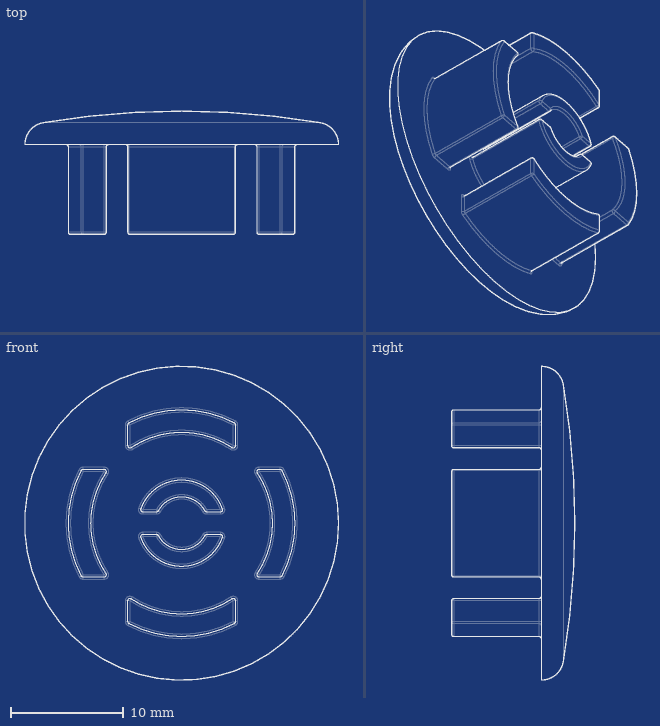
import cadquery as cq
import math

CAP_RADIUS = 14.0
CAP_THICKNESS = 3.0
RIM_RADIUS = 2.0

PRONG_LENGTH = 8.0
BLEND_RADIUS = 0.2

ARM_COUNT = 4
ARM_OUTER_RADIUS = 10.1
ARM_INNER_RADIUS = 8.1
ARM_WIDTH = 9.6

CLIP_COUNT = 2
CLIP_OUTER_RADIUS = 3.85
CLIP_INNER_RADIUS = 2.35
CLIP_SLOT_WIDTH = 2.0


def make_cap():
    """Revolve the cap profile, a rounded rim running smoothly into a shallow dome, about the Y axis."""
    rim_center_x = CAP_RADIUS - RIM_RADIUS
    dome_radius = (rim_center_x**2 + CAP_THICKNESS**2 - RIM_RADIUS**2) / (2 * (CAP_THICKNESS - RIM_RADIUS))
    dome_center_y = CAP_THICKNESS - dome_radius

    dome_edge_angle = math.asin(rim_center_x / (dome_radius - RIM_RADIUS))
    rim_mid_angle = (dome_edge_angle + math.pi / 2) / 2

    def rim_point(angle):
        return (rim_center_x + RIM_RADIUS * math.sin(angle), RIM_RADIUS * math.cos(angle))

    def dome_point(angle):
        return (dome_radius * math.sin(angle), dome_center_y + dome_radius * math.cos(angle))

    return (
        cq.Workplane("XY")
        .lineTo(CAP_RADIUS, 0)
        .threePointArc(rim_point(rim_mid_angle), rim_point(dome_edge_angle))
        .threePointArc(dome_point(dome_edge_angle / 2), (0, CAP_THICKNESS))
        .close()
        .revolve(360, (0, 0, 0), (0, 1, 0))
    )


def make_tube(outer_radius, inner_radius):
    """Tube along the Y axis, from the underside to the prong tips."""
    return (
        cq.Workplane("XZ")
        .circle(outer_radius)
        .circle(inner_radius)
        .extrude(PRONG_LENGTH)
    )


def round_sides_and_tip(prong):
    """Round the four long edges of a prong, then the rim of its free end."""
    return prong.edges("|Y").fillet(BLEND_RADIUS).faces("<Y").edges().fillet(BLEND_RADIUS)


def make_arm():
    """Upper arm: the part of the ring above the axis, between two parallel sides."""
    side_cutter = (
        cq.Workplane("XZ")
        .center(0, ARM_OUTER_RADIUS / 2)
        .rect(ARM_WIDTH, ARM_OUTER_RADIUS)
        .extrude(PRONG_LENGTH)
    )
    return round_sides_and_tip(make_tube(ARM_OUTER_RADIUS, ARM_INNER_RADIUS).intersect(side_cutter))


def make_clip():
    """Upper clip: the part of the tube above the slot."""
    upper_region = (
        cq.Workplane("XZ")
        .center(0, CLIP_SLOT_WIDTH / 2 + CLIP_OUTER_RADIUS / 2)
        .rect(2 * CLIP_OUTER_RADIUS, CLIP_OUTER_RADIUS)
        .extrude(PRONG_LENGTH)
    )
    return round_sides_and_tip(make_tube(CLIP_OUTER_RADIUS, CLIP_INNER_RADIUS).intersect(upper_region))


def add_around_axis(body, prong, count):
    """Join equally spaced copies of a prong around the Y axis."""
    for index in range(count):
        body = body.union(prong.rotate((0, 0, 0), (0, 1, 0), index * 360 / count))
    return body


def blend_roots(body):
    """Fillet where the prongs meet the underside; the cap's own rim stays sharp."""
    reach = ARM_OUTER_RADIUS + BLEND_RADIUS
    root_zone = cq.selectors.BoxSelector(
        (-reach, -BLEND_RADIUS, -reach),
        (reach, BLEND_RADIUS, reach),
        boundingbox=True,
    )
    return body.edges(root_zone).fillet(BLEND_RADIUS)


cap_with_arms = add_around_axis(make_cap(), make_arm(), ARM_COUNT)
cap_with_prongs = add_around_axis(cap_with_arms, make_clip(), CLIP_COUNT)
result = blend_roots(cap_with_prongs)